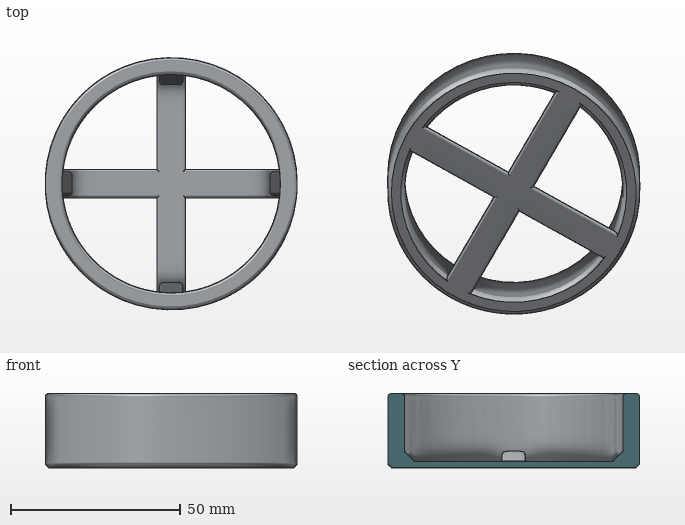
import cadquery as cq

OUTER_DIAMETER = 74.5
INNER_DIAMETER = 64.5
HEIGHT = 22.0
TOP_FILLET = 1.0
BOTTOM_CHAMFER = 1.1
CHAMFER_BLEND = 1.0

BAR_WIDTH = 8.5
BAR_THICKNESS = 2.0
BAR_EDGE_FILLET = 0.75

GUSSET_LENGTH = 3.0
GUSSET_HEIGHT = 3.0
GUSSET_EDGE_FILLET = 1.0

OUTER_RADIUS = OUTER_DIAMETER / 2
INNER_RADIUS = INNER_DIAMETER / 2
WALL = OUTER_RADIUS - INNER_RADIUS
EMBED = WALL / 2
GUSSET_WIDTH = BAR_WIDTH - 2 * BAR_EDGE_FILLET
BAR_ANGLES = (0, 90)
GUSSET_ANGLES = (0, 90, 180, 270)
SELECTION_MARGIN = 0.1


def make_ring():
    """Plain ring with rounded top edges and blended chamfers along the bottom edges."""
    ring = (
        cq.Workplane("XY")
        .circle(OUTER_RADIUS)
        .circle(INNER_RADIUS)
        .extrude(HEIGHT)
    )
    ring = ring.faces(">Z").edges().fillet(TOP_FILLET)
    ring = ring.faces("<Z").edges().chamfer(BOTTOM_CHAMFER)
    reach = OUTER_DIAMETER
    chamfer_corners = cq.selectors.BoxSelector(
        (-reach, -reach, BOTTOM_CHAMFER - SELECTION_MARGIN),
        (reach, reach, BOTTOM_CHAMFER + SELECTION_MARGIN),
    )
    return ring.edges("%CIRCLE").edges(chamfer_corners).fillet(CHAMFER_BLEND)


def make_bar(angle):
    """Bar across the ring, long edges rounded."""
    length = 2 * (INNER_RADIUS + EMBED)
    return (
        cq.Workplane("XY")
        .box(length, BAR_WIDTH, BAR_THICKNESS, centered=(True, True, False))
        .edges("|X")
        .fillet(BAR_EDGE_FILLET)
        .rotate((0, 0, 0), (0, 0, 1), angle)
    )


def make_gusset(angle):
    """Wedge rising from the bar top to the wall, edges of its slope rounded."""
    slope_start = INNER_RADIUS - GUSSET_LENGTH
    back = INNER_RADIUS + EMBED
    rise = GUSSET_HEIGHT / GUSSET_LENGTH
    top = BAR_THICKNESS + (back - slope_start) * rise
    wedge = (
        cq.Workplane("XZ")
        .moveTo(slope_start, BAR_THICKNESS)
        .lineTo(back, BAR_THICKNESS)
        .lineTo(back, top)
        .close()
        .extrude(GUSSET_WIDTH / 2, both=True)
    )
    slope_edges = wedge.edges("not (|X or |Y or |Z)")
    return slope_edges.fillet(GUSSET_EDGE_FILLET).rotate((0, 0, 0), (0, 0, 1), angle)


result = make_ring()
for bar_angle in BAR_ANGLES:
    result = result.union(make_bar(bar_angle))
for gusset_angle in GUSSET_ANGLES:
    result = result.union(make_gusset(gusset_angle))